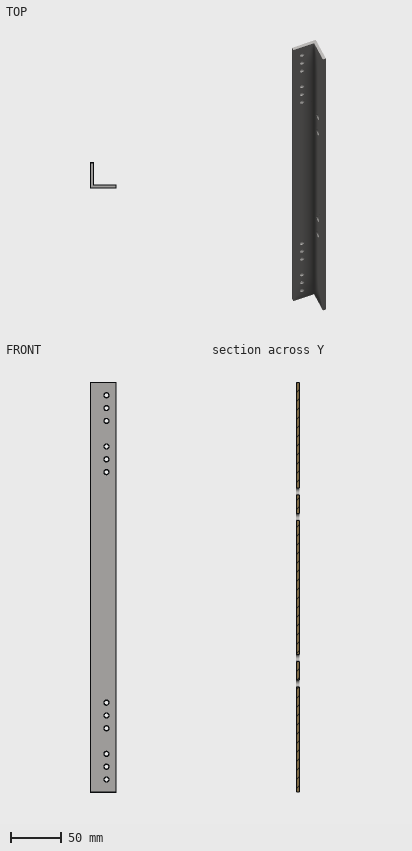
import cadquery as cq

INCH = 25.4
LEG = 1.0 * INCH
THICKNESS = INCH / 8
LENGTH = 16.0 * INCH

SMALL_DIAMETER = 3 / 16 * INCH
SMALL_X = 5 / 8 * INCH
SMALL_PITCH = INCH / 2
SMALL_STEPS = (1, 2, 3, 5, 6, 7)

LARGE_DIAMETER = 0.25 * INCH
LARGE_Y = LEG / 2
LARGE_END_DISTANCES = (4.25 * INCH, 5.25 * INCH)


def angle_bar():
    """L-section bar with its outer corner edge on the Z axis."""
    profile = [
        (0, 0),
        (LEG, 0),
        (LEG, THICKNESS),
        (THICKNESS, THICKNESS),
        (THICKNESS, LEG),
        (0, LEG),
    ]
    return cq.Workplane("XY").polyline(profile).close().extrude(LENGTH)


def from_both_ends(distances):
    """Heights at the given distances from the bottom end and from the top end."""
    return [z for d in distances for z in (d, LENGTH - d)]


def small_holes():
    """Cylinders along Y through the XZ leg."""
    heights = from_both_ends([step * SMALL_PITCH for step in SMALL_STEPS])
    points = [(SMALL_X, z) for z in heights]
    return cq.Workplane("XZ").pushPoints(points).circle(SMALL_DIAMETER / 2).extrude(-THICKNESS)


def large_holes():
    """Cylinders along X through the YZ leg."""
    points = [(LARGE_Y, z) for z in from_both_ends(LARGE_END_DISTANCES)]
    return cq.Workplane("YZ").pushPoints(points).circle(LARGE_DIAMETER / 2).extrude(THICKNESS)


result = angle_bar().cut(small_holes()).cut(large_holes())